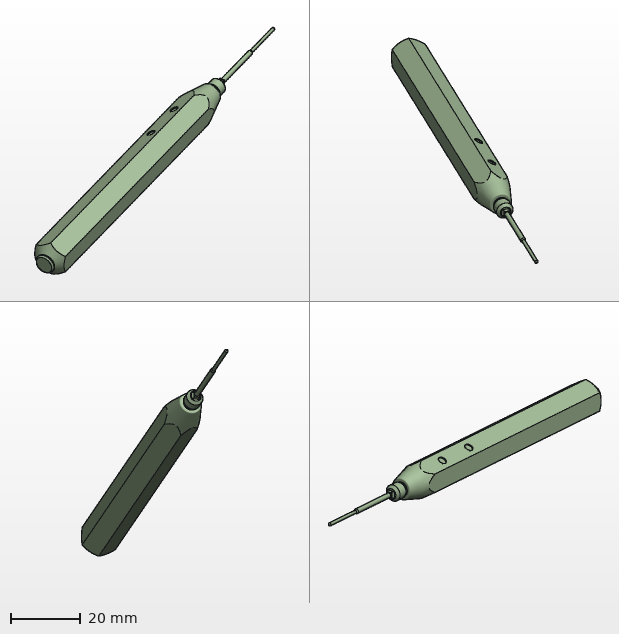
import cadquery as cq
import math

length = 124.9
across_flats = 10.0
corner_radius = across_flats / 2 / math.cos(math.pi / 6)

butt_cone_end = 3.6
button_length = 1.0
button_chamfer_length = 0.6
button_chamfer_depth = 0.4
taper_start = 81.3
taper_end = 90.8
collar_start = 91.3
collar_end = 95.4
wedge_start = 94.9
flare_end = 96.0
wedge_end = 96.7
shaft_end = 111.9
nib_start = 112.4

button_diameter = 6.0
taper_end_diameter = 6.5
neck_diameter = 4.5
collar_diameter = 5.0
shaft_diameter = 1.5
nib_diameter = 1.0

taper_end_rounding = 0.4
collar_front_chamfer = 0.9
collar_back_chamfer = 0.4
nib_chamfer = 0.4

wedge_base_width = 3.2
wedge_tip_width = 1.5
wedge_thickness = 2.0

hole_diameter = 2.5
hole_depth = 0.4
point_depth = 1.0
first_hole_position = 74.6
hole_spacing = 12.5
hole_positions = [first_hole_position, first_hole_position - hole_spacing]


def revolve_profile(points):
    """Turn a closed (radius, axial position) profile about the Y axis."""
    return cq.Workplane("XY").polyline(points).close().revolve(360, (0, 0, 0), (0, 1, 0))


def cylinder(diameter, start, end):
    """Round bar along Y between two axial positions."""
    return cq.Workplane("XZ", origin=(0, start, 0)).circle(diameter / 2).extrude(start - end)


def make_handle():
    """Hexagonal bar with corners up and down, turned to a cone at both ends."""
    bar = (
        cq.Workplane("XZ")
        .polygon(6, 2 * corner_radius)
        .extrude(-taper_end)
        .rotate((0, 0, 0), (0, 1, 0), 30)
    )
    envelope = revolve_profile([
        (0, button_length),
        (button_diameter / 2, button_length),
        (corner_radius, butt_cone_end),
        (corner_radius, taper_start),
        (taper_end_diameter / 2, taper_end),
        (0, taper_end),
    ])
    return bar.intersect(envelope).faces(">Y").edges().fillet(taper_end_rounding)


def make_button():
    """Chamfered round button on the butt end."""
    rim_radius = button_diameter / 2
    return revolve_profile([
        (0, 0),
        (rim_radius - button_chamfer_depth, 0),
        (rim_radius, button_chamfer_length),
        (rim_radius, button_length),
        (0, button_length),
    ])


def make_collar():
    """Collar with chamfered rims."""
    collar = cylinder(collar_diameter, collar_start, collar_end)
    return collar.faces(">Y").chamfer(collar_front_chamfer).faces("<Y").chamfer(collar_back_chamfer)


def make_wedge():
    """Flat block that flares from a narrow straight front into the collar."""
    outline = [
        (-wedge_base_width / 2, wedge_start),
        (wedge_base_width / 2, wedge_start),
        (wedge_tip_width / 2, flare_end),
        (wedge_tip_width / 2, wedge_end),
        (-wedge_tip_width / 2, wedge_end),
        (-wedge_tip_width / 2, flare_end),
    ]
    return cq.Workplane("XY").polyline(outline).close().extrude(wedge_thickness / 2, both=True)


def make_shaft():
    """Thin shaft that steps down through a short cone to the chamfered nib."""
    nib_radius = nib_diameter / 2
    return revolve_profile([
        (0, collar_end),
        (shaft_diameter / 2, collar_end),
        (shaft_diameter / 2, shaft_end),
        (nib_radius, nib_start),
        (nib_radius, length - nib_chamfer),
        (nib_radius - nib_chamfer, length),
        (0, length),
    ])


def make_hole(position):
    """Round recess with a conical bottom, square to the upper -X flat."""
    normal = cq.Vector(-math.cos(math.pi / 3), 0, math.sin(math.pi / 3))
    center = normal * (across_flats / 2) + cq.Vector(0, position, 0)
    straight_part = cq.Solid.makeCylinder(hole_diameter / 2, hole_depth, center, -normal)
    point_start = center - normal * hole_depth
    point = cq.Solid.makeCone(hole_diameter / 2, 0, point_depth, point_start, -normal)
    return cq.Workplane(straight_part.fuse(point))


neck = cylinder(neck_diameter, taper_end, collar_start)
result = make_handle()
for piece in [make_button(), neck, make_collar(), make_wedge(), make_shaft()]:
    result = result.union(piece)
for hole_position in hole_positions:
    result = result.cut(make_hole(hole_position))